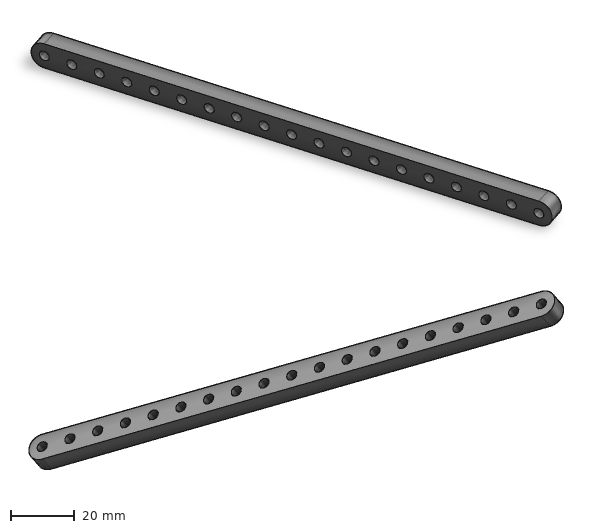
import cadquery as cq

length = 185.5
thickness = 6.3
height = 9.5
hole_count = 19
hole_diameter = 3.5

hole_pitch = (length - height) / (hole_count - 1)

bar = cq.Workplane("XZ").slot2D(length, height).extrude(thickness / 2, both=True)

holes = (
    cq.Workplane("XZ")
    .rarray(hole_pitch, height, hole_count, 1)
    .circle(hole_diameter / 2)
    .extrude(thickness, both=True)
)

result = bar.cut(holes)